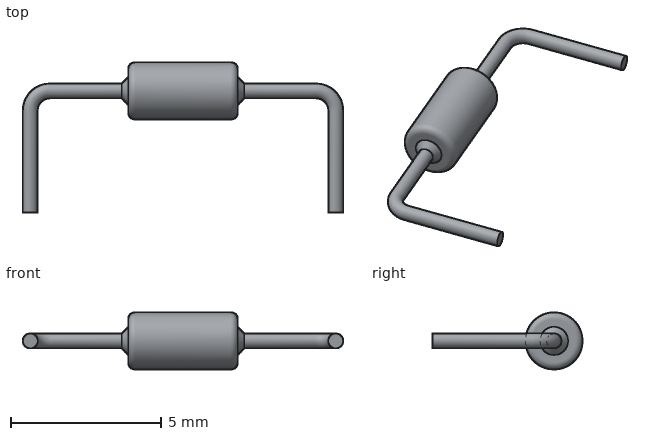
import cadquery as cq

overall_length = 10.67
overall_depth = 5.0
body_diameter = 1.91

body_length = 3.65
edge_radius = 0.22

collar_length = 0.21
collar_base_diameter = 0.94

lead_diameter = 0.5
bend_inner_radius = 0.41

body_radius = body_diameter / 2
lead_radius = lead_diameter / 2
bend_radius = bend_inner_radius + lead_radius
leg_x = overall_length / 2 - lead_radius
leg_end_y = body_radius - overall_depth


def make_body():
    """Rounded cylinder along X."""
    cylinder = (
        cq.Workplane("YZ", origin=(-body_length / 2, 0, 0))
        .circle(body_radius)
        .extrude(body_length)
    )
    return cylinder.edges("%CIRCLE").fillet(edge_radius)


def make_collars():
    """Both tapered collars and the straight core joining them, turned about X."""
    base_x = body_length / 2
    tip_x = base_x + collar_length
    base_radius = collar_base_diameter / 2
    return (
        cq.Workplane("XY")
        .moveTo(-tip_x, 0)
        .lineTo(-tip_x, lead_radius)
        .lineTo(-base_x, base_radius)
        .lineTo(base_x, base_radius)
        .lineTo(tip_x, lead_radius)
        .lineTo(tip_x, 0)
        .close()
        .revolve(360, (0, 0, 0), (1, 0, 0))
    )


def make_lead():
    """One continuous wire through the body, bent toward -Y at both ends."""
    bend_start_x = leg_x - bend_radius
    path = (
        cq.Workplane("XY")
        .moveTo(-leg_x, leg_end_y)
        .lineTo(-leg_x, -bend_radius)
        .radiusArc((-bend_start_x, 0), bend_radius)
        .lineTo(bend_start_x, 0)
        .radiusArc((leg_x, -bend_radius), bend_radius)
        .lineTo(leg_x, leg_end_y)
    )
    return (
        cq.Workplane("XZ", origin=(-leg_x, leg_end_y, 0))
        .circle(lead_radius)
        .sweep(path)
    )


result = make_body().union(make_collars()).union(make_lead())